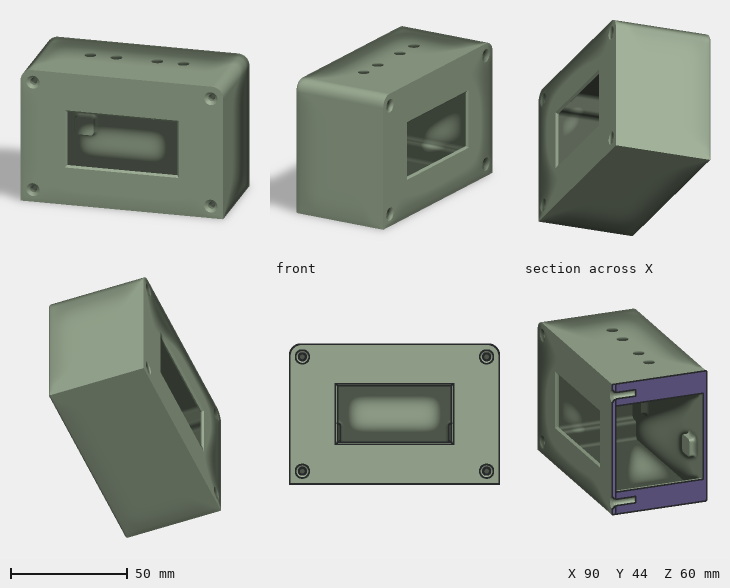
import cadquery as cq

WIDTH = 90.0
DEPTH = 44.0
HEIGHT = 60.0
TOP_CORNER_RADIUS = 5.0
BACK_EDGE_RADIUS = 1.0

LID_THICKNESS = 1.8
WINDOW_WIDTH = 50.7
WINDOW_HEIGHT = 26.1
WINDOW_BEVEL = LID_THICKNESS / 2

SIDE_WALL = 4.95
FLOOR_WALL = 2.0
BACK_WALL = 2.0
CAVITY_DEPTH = DEPTH - LID_THICKNESS - BACK_WALL
CAVITY_WIDTH = WIDTH - 2 * SIDE_WALL
CAVITY_HEIGHT = HEIGHT - 2 * FLOOR_WALL
CAVITY_FILLET = 1.5

POST_WIDTH = 4.05
POST_HEIGHT = 8.2

SCREW_INSET = 5.5
SCREW_CLEARANCE_DIAMETER = 3.2
SCREW_HEAD_DIAMETER = 5.85
SCREW_PILOT_DIAMETER = 2.8
SCREW_PILOT_DEPTH = 9.0
SCREW_SPACING_X = WIDTH - 2 * SCREW_INSET
SCREW_SPACING_Z = HEIGHT - 2 * SCREW_INSET
COUNTERSINK_DEPTH = 1.2

ROOF_HOLE_DIAMETER = 5.0
ROOF_HOLE_OFFSETS = (9.1, 20.7)
ROOF_HOLE_Y = 24.7

PAD_SIZE = 8.1
PAD_THICKNESS = 3.0
PAD_INNER_X = 23.2
PAD_CENTER_Z = 22.0
PAD_CORNER_RADIUS = 1.3
PAD_BASE_FILLET = 1.5
SELECTION_MARGIN = 0.1


def plane_at(y):
    """Sketch plane facing the back (+Y), with its centre at mid-height of the box."""
    return cq.Workplane(cq.Plane(origin=(0, y, HEIGHT / 2), xDir=(-1, 0, 0), normal=(0, 1, 0)))


def make_slab(y, depth):
    """Box of the full outline with its two upper corners rounded."""
    slab = plane_at(y).rect(WIDTH, HEIGHT).extrude(depth)
    return slab.edges("|Y and >Z").fillet(TOP_CORNER_RADIUS)


def make_screw_holes(y, diameter, depth):
    """Four cylinders on the screw axes, running back from y."""
    return (
        plane_at(y)
        .rect(SCREW_SPACING_X, SCREW_SPACING_Z, forConstruction=True)
        .vertices()
        .circle(diameter / 2)
        .extrude(depth)
    )


def make_window_half(face_y):
    """Window opening from one face of the lid to mid-thickness, narrowing on all four sides."""
    return (
        plane_at(face_y)
        .rect(WINDOW_WIDTH, WINDOW_HEIGHT)
        .workplane(offset=LID_THICKNESS / 2 - face_y)
        .rect(WINDOW_WIDTH - 2 * WINDOW_BEVEL, WINDOW_HEIGHT - 2 * WINDOW_BEVEL)
        .loft(ruled=True)
    )


def make_lid():
    """Front plate with a bevelled window and four countersunk screw holes."""
    lid = make_slab(0, LID_THICKNESS)
    for face_y in (0, LID_THICKNESS):
        lid = lid.cut(make_window_half(face_y))
    lid = lid.cut(make_screw_holes(0, SCREW_CLEARANCE_DIAMETER, LID_THICKNESS))
    for x in (-SCREW_SPACING_X / 2, SCREW_SPACING_X / 2):
        for z in (SCREW_INSET, HEIGHT - SCREW_INSET):
            countersink = cq.Solid.makeCone(
                SCREW_HEAD_DIAMETER / 2,
                SCREW_CLEARANCE_DIAMETER / 2,
                COUNTERSINK_DEPTH,
                pnt=cq.Vector(x, 0, z),
                dir=cq.Vector(0, 1, 0),
            )
            lid = lid.cut(cq.Workplane(countersink))
    return lid


def make_cavity():
    """Space inside the housing: a block less its four corner posts, with all long edges rounded."""
    cavity = plane_at(LID_THICKNESS).rect(CAVITY_WIDTH, CAVITY_HEIGHT).extrude(CAVITY_DEPTH)
    posts = (
        plane_at(LID_THICKNESS)
        .rect(CAVITY_WIDTH, CAVITY_HEIGHT, forConstruction=True)
        .vertices()
        .rect(2 * POST_WIDTH, 2 * POST_HEIGHT)
        .extrude(CAVITY_DEPTH)
    )
    return cavity.cut(posts).edges("|Y").fillet(CAVITY_FILLET)


def add_pad(housing, side):
    """Pad on the back wall, its foot blended into the wall; side is -1 or 1."""
    wall_y = DEPTH - BACK_WALL
    center_x = side * (PAD_INNER_X + PAD_SIZE / 2)
    pad = (
        cq.Workplane("XY")
        .box(PAD_SIZE, PAD_THICKNESS, PAD_SIZE, centered=(True, False, True))
        .edges("|Y")
        .fillet(PAD_CORNER_RADIUS)
        .translate((center_x, wall_y - PAD_THICKNESS, PAD_CENTER_Z))
    )
    half = PAD_SIZE / 2 + SELECTION_MARGIN
    foot = cq.selectors.BoxSelector(
        (center_x - half, wall_y - SELECTION_MARGIN, PAD_CENTER_Z - half),
        (center_x + half, wall_y + SELECTION_MARGIN, PAD_CENTER_Z + half),
    )
    return housing.union(pad).edges(foot).fillet(PAD_BASE_FILLET)


def make_housing():
    """Tub open at the front, with screw posts, back-wall pads and a row of holes in the roof."""
    housing = make_slab(LID_THICKNESS, DEPTH - LID_THICKNESS)
    housing = housing.faces(">Y").edges().fillet(BACK_EDGE_RADIUS)
    housing = housing.cut(make_cavity())
    for side in (-1, 1):
        housing = add_pad(housing, side)
    housing = housing.cut(make_screw_holes(LID_THICKNESS, SCREW_PILOT_DIAMETER, SCREW_PILOT_DEPTH))
    for offset in ROOF_HOLE_OFFSETS:
        for x in (-offset, offset):
            roof_underside = cq.Workplane("XY", origin=(x, ROOF_HOLE_Y, HEIGHT - FLOOR_WALL))
            housing = housing.cut(roof_underside.circle(ROOF_HOLE_DIAMETER / 2).extrude(FLOOR_WALL))
    return housing


lid = make_lid()
housing = make_housing()

result = cq.Compound.makeCompound([lid.val(), housing.val()])